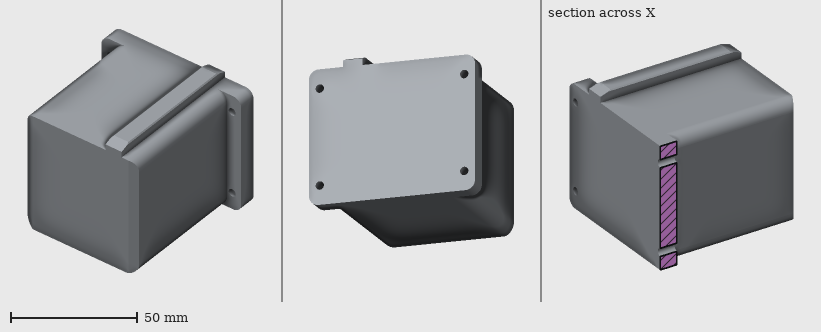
import cadquery as cq

flange_width = 70.0
flange_thickness = 8.0
flange_corner_radius = 4.0
body_width = 56.0
body_height = 56.0
total_depth = 67.0
body_corner_radius = 5.1

bevel_width = 4.0
bevel_depth = 1.9

hole_diameter = 3.5
hole_side_offset = 4.55
hole_end_offset = 8.0

rail_width = 8.1
rail_height = 4.5
rail_center_x = 16.6
rail_ramp_length = 5.0
rail_ramp_drop = 1.75
rail_edge_chamfer = 0.5

flange_front_y = total_depth - flange_thickness
body_top_z = body_height
rail_top_z = body_top_z + rail_height


def rounded_block(width, y_start, y_end, corner_radius):
    """Full-height block whose edges along Y are rounded."""
    depth = y_end - y_start
    return (
        cq.Workplane("XY")
        .box(width, depth, body_height)
        .edges("|Y")
        .fillet(corner_radius)
        .translate((0, y_start + depth / 2, body_height / 2))
    )


def front_bevel(side):
    """Cutter for one upright front edge; side is -1 for left and 1 for right."""
    edge_x = side * body_width / 2
    return (
        cq.Workplane("XY")
        .moveTo(edge_x, 0)
        .lineTo(edge_x - side * bevel_width, 0)
        .lineTo(edge_x, bevel_depth)
        .close()
        .extrude(body_height)
    )


def make_body():
    body = rounded_block(body_width, 0, total_depth, body_corner_radius)
    for side in (-1, 1):
        body = body.cut(front_bevel(side))
    return body


def make_flange():
    flange = rounded_block(flange_width, flange_front_y, total_depth, flange_corner_radius)
    hole_x = flange_width / 2 - hole_side_offset
    hole_z = body_height / 2 - hole_end_offset
    holes = (
        cq.Workplane("XZ", origin=(0, total_depth, body_height / 2))
        .rect(2 * hole_x, 2 * hole_z, forConstruction=True)
        .vertices()
        .circle(hole_diameter / 2)
        .extrude(flange_thickness)
    )
    return flange.cut(holes)


def make_rail():
    """Full-length rail with chamfered long edges and sloping ends."""
    half_width = rail_width / 2
    rail = (
        cq.Workplane("XY")
        .box(rail_width, total_depth, rail_height, centered=(True, False, False))
        .edges("|Y and >Z")
        .chamfer(rail_edge_chamfer)
        .translate((rail_center_x, 0, body_top_z))
    )
    ramp_low_z = rail_top_z - rail_ramp_drop
    side_profile = (
        cq.Workplane("YZ", origin=(rail_center_x - half_width, 0, 0))
        .moveTo(0, body_top_z)
        .lineTo(0, ramp_low_z)
        .lineTo(rail_ramp_length, rail_top_z)
        .lineTo(total_depth - rail_ramp_length, rail_top_z)
        .lineTo(total_depth, ramp_low_z)
        .lineTo(total_depth, body_top_z)
        .close()
        .extrude(rail_width)
    )
    return rail.intersect(side_profile)


result = make_body().union(make_flange()).union(make_rail())